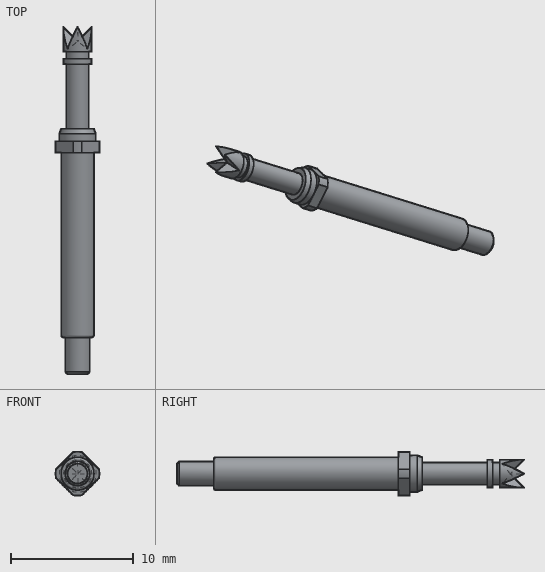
import cadquery as cq
import math

total_length = 28.3

tail_diameter = 2.0
tail_length = 3.0
tail_chamfer = 0.2
barrel_diameter = 2.7
barrel_fillet_radius = 0.2

flange_diameter = 3.6
flange_across_flats = 3.0
flange_thickness = 0.93
flange_back = 18.05
shoulder_diameter = flange_across_flats
shoulder_length = 0.6
shoulder_taper_length = 0.42
shoulder_front_diameter = barrel_diameter

shaft_diameter = 1.85
crown_diameter = 2.3
crown_length = 2.0
collar_thickness = 0.45
neck_length = 0.57

tooth_count = 4
valley_depth_at_axis = 1.15
valley_depth_at_rim = 1.78

flange_front = flange_back + flange_thickness
taper_back = flange_front + shoulder_length
taper_front = taper_back + shoulder_taper_length
crown_back = total_length - crown_length
collar_front = crown_back - neck_length
collar_back = collar_front - collar_thickness


def make_turned_pin():
    """Revolve the half profile of everything except the flange about Y."""
    tail_radius = tail_diameter / 2
    barrel_radius = barrel_diameter / 2
    shoulder_radius = shoulder_diameter / 2
    shaft_radius = shaft_diameter / 2
    crown_radius = crown_diameter / 2
    tail_points = [
        (0, 0),
        (tail_radius - tail_chamfer, 0),
        (tail_radius, tail_chamfer),
        (tail_radius, tail_length),
        (barrel_radius - barrel_fillet_radius, tail_length),
    ]
    barrel_fillet_end = (barrel_radius, tail_length + barrel_fillet_radius)
    front_points = [
        (barrel_radius, flange_back),
        (shoulder_radius, flange_back),
        (shoulder_radius, taper_back),
        (shoulder_front_diameter / 2, taper_front),
        (shaft_radius, taper_front),
        (shaft_radius, collar_back),
        (crown_radius, collar_back),
        (crown_radius, collar_front),
        (shaft_radius, collar_front),
        (shaft_radius, crown_back),
        (crown_radius, crown_back),
        (crown_radius, total_length),
        (0, total_length),
    ]
    half_profile = (
        cq.Workplane("XY")
        .polyline(tail_points)
        .radiusArc(barrel_fillet_end, -barrel_fillet_radius)
        .polyline(front_points, includeCurrent=True)
        .close()
    )
    return half_profile.revolve(360, (0, 0), (0, 1))


def make_flange():
    """Square plate standing on a corner, its corners rounded by a coaxial cylinder."""
    start = cq.Workplane("XZ", origin=(0, flange_back, 0))
    disc = start.circle(flange_diameter / 2).extrude(-flange_thickness)
    square = (
        start.transformed(rotate=(0, 0, 45))
        .rect(flange_across_flats, flange_across_flats)
        .extrude(-flange_thickness)
    )
    return disc.intersect(square)


def make_valley_cutter():
    """V-shaped prism whose bottom line slopes deeper from the axis toward +X."""
    crown_radius = crown_diameter / 2
    valley_slope = (valley_depth_at_rim - valley_depth_at_axis) / crown_radius
    valley_angle = math.atan(valley_slope)
    wall_slope = valley_slope + math.sqrt(2) * valley_depth_at_axis / crown_radius
    half_width = crown_diameter
    wall_height = half_width * wall_slope * math.cos(valley_angle)
    prism = (
        cq.Workplane("YZ")
        .polyline([(0, 0), (wall_height, half_width), (wall_height, -half_width)])
        .close()
        .extrude(2 * crown_diameter, both=True)
    )
    tilted = prism.rotate((0, 0, 0), (0, 0, 1), -math.degrees(valley_angle))
    return tilted.translate((0, total_length - valley_depth_at_axis, 0))


def cut_crown_teeth(pin):
    """Cut the valleys midway between the teeth, which point along X and Z."""
    tooth_pitch = 360 / tooth_count
    cutter = make_valley_cutter()
    for index in range(tooth_count):
        valley_direction = (index + 0.5) * tooth_pitch
        pin = pin.cut(cutter.rotate((0, 0, 0), (0, 1, 0), valley_direction))
    return pin


result = cut_crown_teeth(make_turned_pin().union(make_flange()))